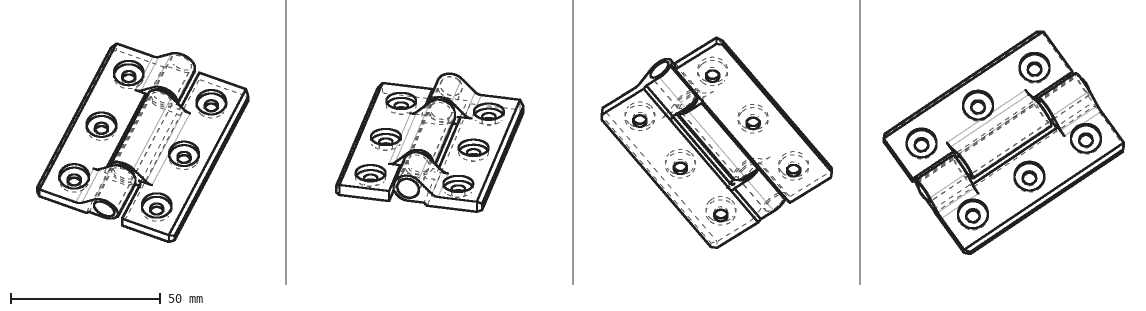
import cadquery as cq
import math

overall_width = 50.0
overall_length = 67.0
overall_height = 11.0

leaf_length = 65.0
plate_thickness = 4.0
plate_inner_edge = 6.5
edge_chamfer = 1.5
notch_fillet = 1.0

knuckle_radius = 4.95
end_knuckle_length = 15.0
knuckle_gap = 1.5
slope_angle = 45.0
slope_fillet = 3.0

hole_offset = 15.0
hole_pitch = 23.0
hole_diameter = 4.5
counterbore_diameter = 10.0
counterbore_depth = 2.0

bore_diameter = 7.5
pin_diameter = 7.3

half_width = overall_width / 2
half_length = leaf_length / 2
dome_height = (overall_length - leaf_length) / 2
axis_height = overall_height - knuckle_radius
relief_height = axis_height - knuckle_radius
end_knuckle_start = half_length - end_knuckle_length
middle_knuckle_end = end_knuckle_start - knuckle_gap



def extrude_along_y(outline, y_start, y_end):
    """Extrude a closed XZ outline between two Y positions."""
    return outline.extrude(-(y_end - y_start)).translate((0, y_start, 0))


def make_plate():
    """Flat plate with its outer corners and its outer top edge bevelled."""
    plate_width = half_width - plate_inner_edge
    plate = (
        cq.Workplane("XY")
        .box(plate_width, leaf_length, plate_thickness, centered=(False, True, False))
        .translate((-half_width, 0, 0))
    )
    plate = plate.edges("|Z and <X").chamfer(edge_chamfer)
    return plate.faces("<X").edges(">Z").chamfer(edge_chamfer)


def make_knuckle(y_start, y_end):
    """Round barrel with a slope that blends into the top of the plate.

    On the far side the barrel drops straight from axis level to plate level,
    then steps in to the round underside.
    """
    angle = math.radians(slope_angle)
    barrel_x = -knuckle_radius * math.sin(angle)
    barrel_z = axis_height + knuckle_radius * math.cos(angle)
    foot_x = barrel_x - (barrel_z - plate_thickness) / math.tan(angle)

    tangent_length = slope_fillet * math.tan(angle / 2)
    blend_start = foot_x - tangent_length
    blend_end_x = foot_x + tangent_length * math.cos(angle)
    blend_end_z = plate_thickness + tangent_length * math.sin(angle)
    blend_mid_x = blend_start + slope_fillet * math.sin(angle / 2)
    blend_mid_z = plate_thickness + slope_fillet * (1 - math.cos(angle / 2))

    ledge_angle = math.acos((axis_height - plate_thickness) / knuckle_radius)
    ledge_x = knuckle_radius * math.sin(ledge_angle)
    underside_mid_x = knuckle_radius * math.sin(ledge_angle / 2)
    underside_mid_z = axis_height - knuckle_radius * math.cos(ledge_angle / 2)

    outline = (
        cq.Workplane("XZ")
        .moveTo(blend_start, 0)
        .lineTo(-plate_inner_edge, 0)
        .lineTo(-plate_inner_edge + relief_height, relief_height)
        .lineTo(0, relief_height)
        .threePointArc((underside_mid_x, underside_mid_z), (ledge_x, plate_thickness))
        .lineTo(knuckle_radius, plate_thickness)
        .lineTo(knuckle_radius, axis_height)
        .threePointArc((0, overall_height), (barrel_x, barrel_z))
        .lineTo(blend_end_x, blend_end_z)
        .threePointArc((blend_mid_x, blend_mid_z), (blend_start, plate_thickness))
        .close()
    )
    return extrude_along_y(outline, y_start, y_end)


def make_notch_round(y_face, outward):
    """Concave corner round between the plate edge and a knuckle end face at y_face.

    outward is +1 or -1, the Y direction in which the knuckle end faces.
    """
    corner_shift = notch_fillet * (1 - math.sqrt(0.5))
    web = (
        cq.Workplane("XY")
        .moveTo(-plate_inner_edge, y_face)
        .lineTo(-plate_inner_edge + notch_fillet, y_face)
        .threePointArc(
            (-plate_inner_edge + corner_shift, y_face + outward * corner_shift),
            (-plate_inner_edge, y_face + outward * notch_fillet),
        )
        .close()
        .extrude(plate_thickness)
    )
    relief = (
        cq.Workplane("XZ")
        .moveTo(-plate_inner_edge, 0)
        .lineTo(0, 0)
        .lineTo(0, relief_height)
        .lineTo(-plate_inner_edge + relief_height, relief_height)
        .close()
        .extrude(half_length, both=True)
    )
    return web.cut(relief)


def make_rod(diameter, length):
    """Cylinder on the hinge axis, centred along its length."""
    return cq.Workplane("XZ").circle(diameter / 2).extrude(length / 2, both=True).translate((0, 0, axis_height))


def cut_screw_holes(leaf):
    """Three counterbored holes in a row along the plate."""
    points = [(-hole_offset, row * hole_pitch) for row in (-1, 0, 1)]
    through_holes = cq.Workplane("XY").pushPoints(points).circle(hole_diameter / 2).extrude(plate_thickness)
    counterbores = (
        cq.Workplane("XY")
        .workplane(offset=plate_thickness - counterbore_depth)
        .pushPoints(points)
        .circle(counterbore_diameter / 2)
        .extrude(overall_height)
    )
    return leaf.cut(through_holes).cut(counterbores)


def make_leaf(knuckle_spans, notch_corners):
    """Plate with a bored knuckle over each Y span and a round in each notch corner."""
    leaf = make_plate()
    for y_start, y_end in knuckle_spans:
        leaf = leaf.union(make_knuckle(y_start, y_end))
    for y_face, outward in notch_corners:
        leaf = leaf.union(make_notch_round(y_face, outward))
    leaf = leaf.cut(make_rod(bore_diameter, overall_length))
    return cut_screw_holes(leaf)


def make_pin():
    """Round pin with a spherical dome on each end."""
    radius = pin_diameter / 2
    dome_base = overall_length / 2 - dome_height
    dome_radius = (radius**2 + dome_height**2) / (2 * dome_height)
    dome_mid_z = radius / 2
    dome_mid_y = overall_length / 2 - dome_radius + math.sqrt(dome_radius**2 - dome_mid_z**2)
    return (
        cq.Workplane("YZ")
        .moveTo(-overall_length / 2, 0)
        .threePointArc((-dome_mid_y, dome_mid_z), (-dome_base, radius))
        .lineTo(dome_base, radius)
        .threePointArc((dome_mid_y, dome_mid_z), (overall_length / 2, 0))
        .close()
        .revolve(360, (0, 0, 0), (1, 0, 0))
        .translate((0, 0, axis_height))
    )


outer_leaf = make_leaf(
    [(-half_length, -end_knuckle_start), (end_knuckle_start, half_length)],
    [(-end_knuckle_start, 1), (end_knuckle_start, -1)],
)

inner_leaf = make_leaf(
    [(-middle_knuckle_end, middle_knuckle_end)],
    [(-middle_knuckle_end, -1), (middle_knuckle_end, 1)],
).mirror("YZ")

pin = make_pin()

result = cq.Compound.makeCompound([outer_leaf.val(), inner_leaf.val(), pin.val()])